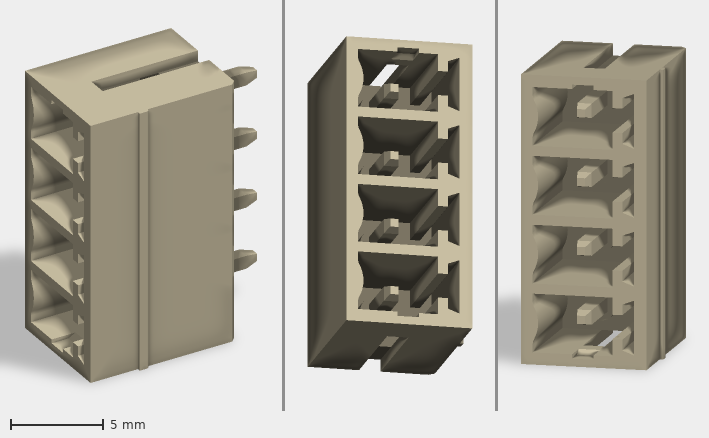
import cadquery as cq
import math


PIN_COUNT = 4
PITCH = 3.81
END_MARGIN = 2.3
HOUSING_WIDTH = 7.0
HOUSING_DEPTH = 9.2
HOUSING_HEIGHT = (PIN_COUNT - 1) * PITCH + 2 * END_MARGIN
BACK_CHAMFER = 0.3

RIB_HEIGHT = 0.2
RIB_FRONT = 3.0
RIB_BACK = 3.6
RIB_OVERHANG = 0.05
RIB_ROUNDING = 0.2

BACK_WALL = 2.5
CAVITY_DEPTH = HOUSING_DEPTH - BACK_WALL
CAVITY_LEFT = 0.65
CAVITY_RIGHT = 5.1
CAVITY_HALF_HEIGHT = 1.625
BULGE_HEIGHT = 0.3
BULGE_RADIUS = 1.9
BULGE_FILLET = 0.6
KEY_NECK_RIGHT = 5.65
KEY_NECK_HALF_HEIGHT = 0.68
KEY_RIGHT = 6.3
KEY_INNER_HALF_HEIGHT = 1.27
KEY_OUTER_HALF_HEIGHT = 1.51

PIN_X = 3.0
PIN_SIZE = 0.8
PIN_TIP_SIZE = 0.45
PIN_TAPER = 0.77
PIN_FRONT = 1.43
PIN_BACK = HOUSING_DEPTH + 3.5
BOSS_RADIUS = 0.9
BOSS_LENGTH = 1.0

END_WALL = END_MARGIN - CAVITY_HALF_HEIGHT
SLOT_LEFT = 2.85
SLOT_WIDTH = 1.2
SLOT_FRONT = 2.5
NOTCH_HEIGHT = 0.24
NOTCH_FLAT = 1.05
NOTCH_LENGTH = 1.5


def make_housing():
    block = cq.Workplane("XY").box(HOUSING_WIDTH, HOUSING_DEPTH, HOUSING_HEIGHT, centered=False)
    return block.edges("|Z and >X and >Y").chamfer(BACK_CHAMFER)


def make_rib():
    outer = HOUSING_WIDTH + RIB_HEIGHT
    return (
        cq.Workplane("XY")
        .moveTo(HOUSING_WIDTH - RIB_HEIGHT, RIB_FRONT)
        .lineTo(HOUSING_WIDTH, RIB_FRONT)
        .lineTo(outer, RIB_FRONT - RIB_OVERHANG)
        .lineTo(outer, RIB_BACK - RIB_ROUNDING)
        .radiusArc((outer - RIB_ROUNDING, RIB_BACK), -RIB_ROUNDING)
        .lineTo(HOUSING_WIDTH - RIB_HEIGHT, RIB_BACK)
        .close()
        .extrude(HOUSING_HEIGHT)
    )


def make_cavity(pin_z):
    """Plug opening: a chamber with a bulged left wall and a dovetail key slot on its right."""
    upper_right = [
        (CAVITY_RIGHT, CAVITY_HALF_HEIGHT),
        (CAVITY_RIGHT, KEY_NECK_HALF_HEIGHT),
        (KEY_NECK_RIGHT, KEY_NECK_HALF_HEIGHT),
        (KEY_NECK_RIGHT, KEY_INNER_HALF_HEIGHT),
        (KEY_RIGHT, KEY_OUTER_HALF_HEIGHT),
    ]
    lower_right = [(x, -z) for x, z in reversed(upper_right)]

    centre_distance = BULGE_RADIUS + BULGE_FILLET
    fillet_z = math.sqrt(centre_distance**2 - (centre_distance - BULGE_HEIGHT) ** 2)
    bulge_edge_x = CAVITY_LEFT + BULGE_FILLET * BULGE_HEIGHT / centre_distance
    bulge_edge_z = fillet_z * BULGE_RADIUS / centre_distance

    outline = cq.Workplane("XZ", origin=(0, 0, pin_z)).moveTo(CAVITY_LEFT, CAVITY_HALF_HEIGHT)
    for x, z in upper_right + lower_right:
        outline = outline.lineTo(x, z)
    return (
        outline.lineTo(CAVITY_LEFT, -CAVITY_HALF_HEIGHT)
        .lineTo(CAVITY_LEFT, -fillet_z)
        .radiusArc((bulge_edge_x, -bulge_edge_z), BULGE_FILLET)
        .threePointArc((CAVITY_LEFT + BULGE_HEIGHT, 0), (bulge_edge_x, bulge_edge_z))
        .radiusArc((CAVITY_LEFT, fillet_z), BULGE_FILLET)
        .close()
        .extrude(-CAVITY_DEPTH)
    )


def make_boss(pin_z):
    boss_front = CAVITY_DEPTH - BOSS_LENGTH
    boss_plane = cq.Workplane("XZ", origin=(PIN_X, boss_front, pin_z))
    return boss_plane.circle(BOSS_RADIUS).extrude(-(BOSS_LENGTH + BACK_WALL / 2))


def make_pin(pin_z):
    """Square pin with a tapered tip at each end."""

    def taper(tip_y, shoulder_y):
        return (
            cq.Workplane("XZ", origin=(PIN_X, tip_y, pin_z))
            .rect(PIN_TIP_SIZE, PIN_TIP_SIZE)
            .workplane(offset=tip_y - shoulder_y)
            .rect(PIN_SIZE, PIN_SIZE)
            .loft()
        )

    front_shoulder = PIN_FRONT + PIN_TAPER
    back_shoulder = PIN_BACK - PIN_TAPER
    shank = (
        cq.Workplane("XZ", origin=(PIN_X, front_shoulder, pin_z))
        .rect(PIN_SIZE, PIN_SIZE)
        .extrude(front_shoulder - back_shoulder)
    )
    return shank.union(taper(PIN_FRONT, front_shoulder)).union(taper(PIN_BACK, back_shoulder))


def make_bottom_slot():
    """Slot through the bottom end wall, open at the back, with the ramped notch ahead of it."""
    slot = cq.Workplane("XY", origin=(SLOT_LEFT, SLOT_FRONT, 0)).box(
        SLOT_WIDTH, HOUSING_DEPTH - SLOT_FRONT, END_WALL, centered=False
    )
    notch = (
        cq.Workplane("YZ", origin=(SLOT_LEFT, 0, END_WALL))
        .moveTo(0, 0)
        .lineTo(0, -NOTCH_HEIGHT)
        .lineTo(NOTCH_FLAT, -NOTCH_HEIGHT)
        .lineTo(NOTCH_LENGTH, 0)
        .close()
        .extrude(SLOT_WIDTH)
    )
    return slot.union(notch)


def make_part():
    pin_heights = [END_MARGIN + i * PITCH for i in range(PIN_COUNT)]
    part = make_housing().union(make_rib())
    for pin_z in pin_heights:
        part = part.cut(make_cavity(pin_z))
    bottom_slot = make_bottom_slot()
    top_slot = bottom_slot.mirror("XY", (0, 0, HOUSING_HEIGHT / 2))
    part = part.cut(bottom_slot).cut(top_slot)
    for pin_z in pin_heights:
        part = part.union(make_boss(pin_z)).union(make_pin(pin_z))
    return part


result = make_part()